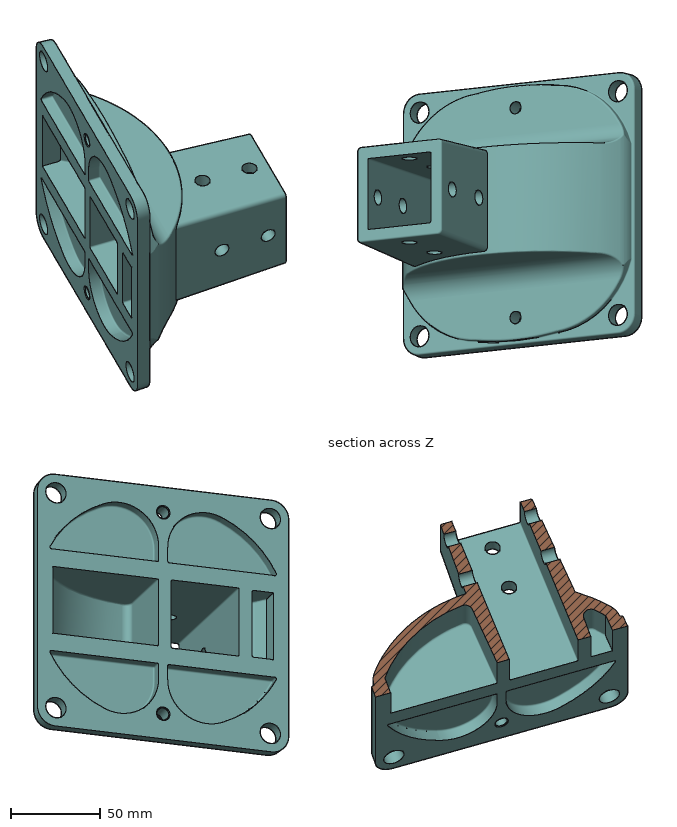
import cadquery as cq
import math


DRAFT_ANGLE = 2.0
DRAFT_SLOPE = math.tan(math.radians(DRAFT_ANGLE))

MARGIN = 0.2

DRAFTED_CORNERS = "not(#Y or |X or |Z)"

PLATE_SIZE = 150.0
PLATE_THICKNESS = 8.0
PLATE_CORNER_RADIUS = 10.5
PLATE_BACK_ROUND = 1.0

CORNER_HOLE_OFFSET = 64.0
CORNER_HOLE_DIAMETER = 12.0
CENTRE_HOLE_OFFSET = 60.0
CENTRE_HOLE_DIAMETER = 7.0
CENTRE_HOLE_RIM_DIAMETER = 8.0
CENTRE_HOLE_RIM_ANGLE = 45.0

PAD_HALF_WIDTH = 73.0
PAD_HALF_HEIGHT = 72.7
PAD_SIDE_HALF_HEIGHT = 33.0
PAD_CROWN_END = (26.0, 70.6)
PAD_SHOULDER = (58.5, 56.5)
PAD_EDGE_Y = 11.2
PAD_ROOT_Y = 12.6
PAD_FOOT_ROUND = 0.6

ARCH_PEAK_Y = 50.8
ARCH_END_Y = 12.2
ARCH_END_ROUND = 14.0
ARCH_WALL = 7.0
ARCH_RADIUS = (PAD_HALF_WIDTH**2 + (ARCH_PEAK_Y - ARCH_END_Y) ** 2) / (2 * (ARCH_PEAK_Y - ARCH_END_Y))
ARCH_CENTRE_Y = ARCH_PEAK_Y - ARCH_RADIUS
HUB_HALF_HEIGHT = 30.9
HUB_ROOT_RADIUS = 12.8
HUB_EDGE_ROUND = 1.0

SOCKET_X = 25.0
SOCKET_END_Y = 100.0
SOCKET_END_SIZE = 54.6
SOCKET_START_Y = 20.0
SOCKET_CORNER_RADIUS = 2.5
SOCKET_END_ROUND = 1.0
BORE_SIZE = 40.6
BORE_CORNER_RADIUS = 1.0
CROSS_HOLE_DIAMETER = 8.5
CROSS_HOLE_POSITIONS = (60.0, 88.5)

HUB_POCKET_HEIGHT = 39.8
HUB_POCKET_OUTER_X = 65.8
LEFT_POCKET_INNER_X = -2.7
RIGHT_POCKET_INNER_X = 53.1
HUB_POCKET_FLOOR_RADIUS = 4.2
HUB_POCKET_FLOOR_ROUND = 1.0

D_DEPTH = 7.0
D_INNER_X = 2.7
D_BASE_Z = 30.3
D_TIP_X = 68.2
D_SHOULDER = (54.9, 48.3)
D_ROUND_RADIUS = 23.4
D_TOP_Z = 62.8
D_ROUND_END_ANGLE = 65.0
D_CORNER_RADIUS = 1.0
D_FLOOR_RADIUS = 0.9


def front_plane(y=0.0):
    """XZ sketch plane at height y whose extrusions run towards +Y, with sketch X mirrored to -X."""
    return cq.Workplane(cq.Plane(origin=(0, y, 0), xDir=(-1, 0, 0), normal=(0, 1, 0)))


def make_plate():
    """Drafted square plate with rounded corners and a rounded back edge."""
    plate = front_plane().rect(PLATE_SIZE, PLATE_SIZE).extrude(PLATE_THICKNESS, taper=DRAFT_ANGLE)
    plate = plate.edges(DRAFTED_CORNERS).fillet(PLATE_CORNER_RADIUS)
    return plate.faces(">Y").edges().fillet(PLATE_BACK_ROUND)


def pad_outline_prism():
    """Pad outline with crowned top and bottom edges, extruded tall enough to bound the hub as well."""
    shoulder_x, shoulder_z = PAD_SHOULDER
    crown_x, crown_z = PAD_CROWN_END
    return (
        front_plane()
        .moveTo(PAD_HALF_WIDTH, -PAD_SIDE_HALF_HEIGHT)
        .lineTo(PAD_HALF_WIDTH, PAD_SIDE_HALF_HEIGHT)
        .threePointArc((shoulder_x, shoulder_z), (crown_x, crown_z))
        .threePointArc((0, PAD_HALF_HEIGHT), (-crown_x, crown_z))
        .threePointArc((-shoulder_x, shoulder_z), (-PAD_HALF_WIDTH, PAD_SIDE_HALF_HEIGHT))
        .lineTo(-PAD_HALF_WIDTH, -PAD_SIDE_HALF_HEIGHT)
        .threePointArc((-shoulder_x, -shoulder_z), (-crown_x, -crown_z))
        .threePointArc((0, -PAD_HALF_HEIGHT), (crown_x, -crown_z))
        .threePointArc((shoulder_x, -shoulder_z), (PAD_HALF_WIDTH, -PAD_SIDE_HALF_HEIGHT))
        .close()
        .extrude(ARCH_PEAK_Y + MARGIN)
    )


def hub_section_prism():
    """YZ section of pad and hub: drafted hub sides swept into the gently sloping pad."""
    top_y = ARCH_PEAK_Y + MARGIN
    root_half = HUB_HALF_HEIGHT + (top_y - PAD_ROOT_Y) * DRAFT_SLOPE
    half = [
        (0, PAD_HALF_HEIGHT),
        (PAD_EDGE_Y, PAD_HALF_HEIGHT),
        (PAD_ROOT_Y, root_half),
        (top_y, HUB_HALF_HEIGHT),
    ]
    mirrored = [(y, -z) for y, z in reversed(half)]
    prism = cq.Workplane("YZ").polyline(half + mirrored).close().extrude(PAD_HALF_WIDTH, both=True)
    root_edges = cq.selectors.BoxSelector(
        (-MARGIN, PAD_ROOT_Y - MARGIN, -root_half - MARGIN), (MARGIN, PAD_ROOT_Y + MARGIN, root_half + MARGIN)
    )
    return prism.edges("|X").edges(root_edges).fillet(HUB_ROOT_RADIUS)


def arch_prism():
    """XY profile of the hub: an arch whose ends round over into the pad sides."""
    return (
        cq.Workplane("XY")
        .moveTo(-PAD_HALF_WIDTH, 0)
        .lineTo(-PAD_HALF_WIDTH, ARCH_END_Y)
        .threePointArc((0, ARCH_PEAK_Y), (PAD_HALF_WIDTH, ARCH_END_Y))
        .lineTo(PAD_HALF_WIDTH, 0)
        .close()
        .extrude(PAD_HALF_HEIGHT, both=True)
        .edges("|Z and (<X or >X) and (not <Y)")
        .fillet(ARCH_END_ROUND)
    )


def make_hub():
    """Pad and hub in one body: the shape shared by outline, section and arch profile."""
    hub = pad_outline_prism().intersect(hub_section_prism()).intersect(arch_prism())
    above_plate = cq.selectors.BoxSelector(
        (-PLATE_SIZE, PLATE_THICKNESS + PLATE_BACK_ROUND, -PLATE_SIZE), (PLATE_SIZE, SOCKET_END_Y, PLATE_SIZE)
    )
    return hub.edges(above_plate).fillet(HUB_EDGE_ROUND)


def make_plate_with_hub():
    """Plate and hub joined, with a small round along the foot of the pad."""
    body = make_plate().union(make_hub())
    pad_foot = cq.selectors.BoxSelector(
        (-PAD_HALF_WIDTH - MARGIN, PLATE_THICKNESS - MARGIN, -PAD_HALF_HEIGHT - MARGIN),
        (PAD_HALF_WIDTH + MARGIN, PLATE_THICKNESS + MARGIN, PAD_HALF_HEIGHT + MARGIN),
    )
    return body.edges(pad_foot).fillet(PAD_FOOT_ROUND)


def make_socket():
    """Drafted square socket, started inside the hub so that the two merge."""
    length = SOCKET_END_Y - SOCKET_START_Y
    start_size = SOCKET_END_SIZE + 2 * length * DRAFT_SLOPE
    socket = (
        front_plane(SOCKET_START_Y)
        .center(-SOCKET_X, 0)
        .rect(start_size, start_size)
        .extrude(length, taper=DRAFT_ANGLE)
    )
    socket = socket.edges(DRAFTED_CORNERS).fillet(SOCKET_CORNER_RADIUS)
    return socket.faces(">Y").edges().fillet(SOCKET_END_ROUND)


def make_bore():
    """Square bore through the plate, hub and socket."""
    return (
        front_plane()
        .center(-SOCKET_X, 0)
        .rect(BORE_SIZE, BORE_SIZE)
        .extrude(SOCKET_END_Y)
        .edges("|Y")
        .fillet(BORE_CORNER_RADIUS)
    )


def make_hub_pocket(inner_x, outer_x):
    """Drafted pocket whose floor runs parallel to the arch."""
    width = abs(outer_x - inner_x)
    opening = front_plane().center(-(inner_x + outer_x) / 2, 0).rect(width, HUB_POCKET_HEIGHT)
    pocket = opening.extrude(ARCH_PEAK_Y, taper=DRAFT_ANGLE)
    inner_arch = (
        cq.Workplane("XY")
        .center(0, ARCH_CENTRE_Y)
        .circle(ARCH_RADIUS - ARCH_WALL)
        .extrude(HUB_POCKET_HEIGHT, both=True)
    )
    pocket = pocket.intersect(inner_arch)
    pocket = pocket.edges("|Z and (>Y)").fillet(HUB_POCKET_FLOOR_RADIUS)
    floor_region = cq.selectors.BoxSelector(
        (-PAD_HALF_WIDTH, PLATE_THICKNESS, -HUB_POCKET_HEIGHT),
        (PAD_HALF_WIDTH, ARCH_PEAK_Y, HUB_POCKET_HEIGHT),
    )
    return pocket.edges("not(<Y)").edges(floor_region).edges("not(|Z)").fillet(HUB_POCKET_FLOOR_ROUND)


def make_d_pocket():
    """D-shaped pocket for the +X, +Z quadrant."""
    centre_x = D_INNER_X + D_ROUND_RADIUS
    centre_z = D_TOP_Z - D_ROUND_RADIUS
    angle = math.radians(D_ROUND_END_ANGLE)
    round_end = (centre_x + D_ROUND_RADIUS * math.cos(angle), centre_z + D_ROUND_RADIUS * math.sin(angle))
    middle_angle = (angle + math.pi) / 2
    round_middle = (
        centre_x + D_ROUND_RADIUS * math.cos(middle_angle),
        centre_z + D_ROUND_RADIUS * math.sin(middle_angle),
    )
    pocket = (
        cq.Workplane("XZ")
        .moveTo(D_INNER_X, D_BASE_Z)
        .lineTo(D_INNER_X, centre_z)
        .threePointArc(round_middle, round_end)
        .threePointArc(D_SHOULDER, (D_TIP_X, D_BASE_Z))
        .close()
        .extrude(-D_DEPTH)
    )
    sharp_corners = cq.selectors.BoxSelector(
        (0, 0, D_BASE_Z - MARGIN), (D_TIP_X + MARGIN, D_DEPTH, D_BASE_Z + MARGIN)
    )
    pocket = pocket.edges("|Y").edges(sharp_corners).fillet(D_CORNER_RADIUS)
    return pocket.faces(">Y").edges().fillet(D_FLOOR_RADIUS)


def make_mounting_holes():
    """Four plain corner holes and two centre holes with chamfered front rims."""
    corner_holes = (
        front_plane()
        .rect(2 * CORNER_HOLE_OFFSET, 2 * CORNER_HOLE_OFFSET, forConstruction=True)
        .vertices()
        .circle(CORNER_HOLE_DIAMETER / 2)
        .extrude(PAD_ROOT_Y)
    )
    centre_points = [(0, -CENTRE_HOLE_OFFSET), (0, CENTRE_HOLE_OFFSET)]
    centre_holes = (
        front_plane()
        .pushPoints(centre_points)
        .circle(CENTRE_HOLE_DIAMETER / 2)
        .extrude(PAD_ROOT_Y)
    )
    rim_depth = (CENTRE_HOLE_RIM_DIAMETER - CENTRE_HOLE_DIAMETER) / 2
    rims = (
        front_plane()
        .pushPoints(centre_points)
        .circle(CENTRE_HOLE_RIM_DIAMETER / 2)
        .extrude(rim_depth, taper=CENTRE_HOLE_RIM_ANGLE)
    )
    return corner_holes.union(centre_holes).union(rims)


def make_cross_holes():
    """Cross holes through the socket walls, along both Z and X."""
    radius = CROSS_HOLE_DIAMETER / 2
    holes = cq.Workplane("XY")
    for y in CROSS_HOLE_POSITIONS:
        along_z = cq.Workplane("XY").center(SOCKET_X, y).circle(radius).extrude(SOCKET_END_SIZE, both=True)
        x_plane = cq.Workplane("YZ", origin=(SOCKET_X, y, 0))
        along_x = x_plane.circle(radius).extrude(SOCKET_END_SIZE, both=True)
        holes = holes.add(along_z).add(along_x)
    return holes.combine()


result = make_plate_with_hub().union(make_socket())
result = result.cut(make_bore())
result = result.cut(make_hub_pocket(LEFT_POCKET_INNER_X, -HUB_POCKET_OUTER_X))
result = result.cut(make_hub_pocket(RIGHT_POCKET_INNER_X, HUB_POCKET_OUTER_X))
d_pocket = make_d_pocket()
for pocket in (d_pocket, d_pocket.mirror("XY")):
    result = result.cut(pocket).cut(pocket.mirror("YZ"))
result = result.cut(make_mounting_holes())
result = result.cut(make_cross_holes())